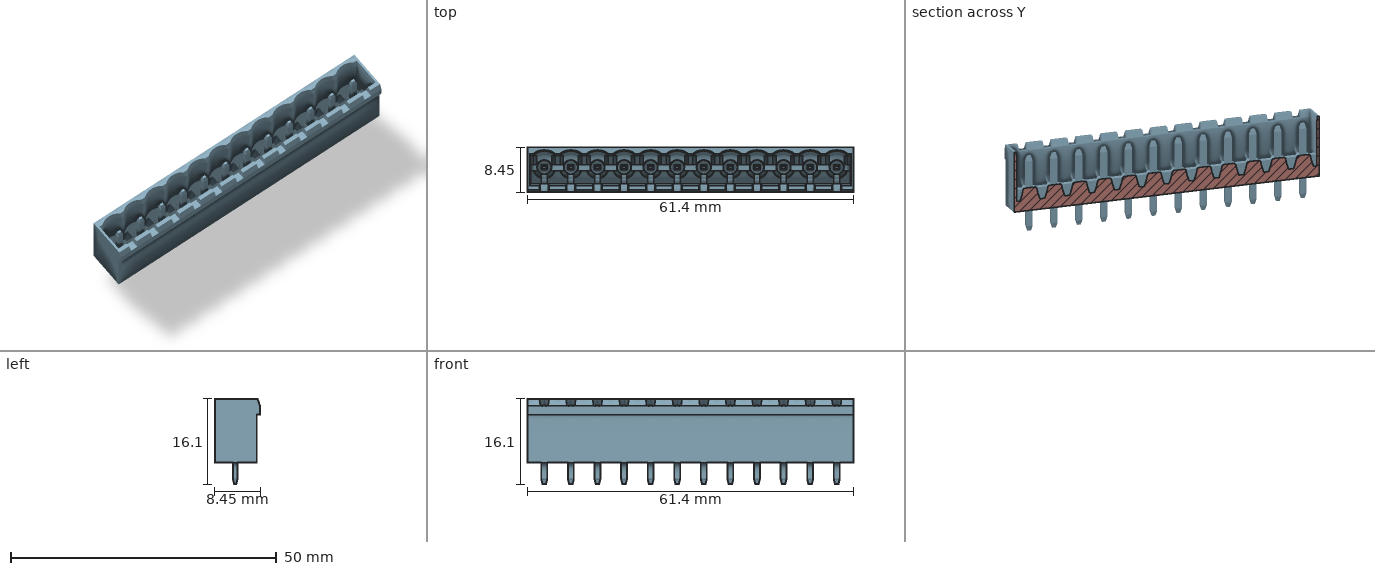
import cadquery as cq
import math


length = 61.4
height = 12.0
back_y = 3.8
front_y = -4.05
lip_front_y = -4.65
lip_bottom_z = height - 2.95
lip_chamfer_depth = 0.4
lip_chamfer_height = 1.3

pin_count = 12
end_margin = 3.2
pitch = (length - 2 * end_margin) / (pin_count - 1)
pin_places = [-length / 2 + end_margin + i * pitch for i in range(pin_count)]
gap_places = [pin_places[0] - pitch / 2 + i * pitch for i in range(pin_count + 1)]

floor_z = 2.9
end_wall = 0.6
cavity_length = length - 2 * end_wall
cavity_back_y = 2.15
cavity_front_y = -3.1
scallop_radius = 3.1

lead_in_height = 1.2
lead_in_z = height - lead_in_height
lead_in_wall_inset = 0.35
lead_in_end_inset = 0.2
mouth_length = cavity_length + 2 * lead_in_end_inset
mouth_back_y = cavity_back_y + lead_in_wall_inset
mouth_front_y = cavity_front_y - lead_in_wall_inset
mouth_scallop_radius = scallop_radius + 0.2

shelf_z = 4.4
shelf_front_y = -0.6

boss_top_radius = 1.3
boss_base_radius = 2.1
boss_top_z = 4.6

web_width = 1.1
web_z = 4.5
web_curve_radius = 1.1

trough_bottom_z = 2.15
trough_front_y = 0.5
trough_bend_z = 3.3
trough_half_bottom = 0.46
trough_half_bend = 0.85
trough_half_top = 1.1

notch_depth = 1.3
notch_top_width = 1.85
notch_bottom_width = 1.5

pin_width = 1.15
pin_depth = 0.9
pin_top_z = height - 1.2
pin_bottom_z = -4.05
pin_tip_height = 1.0
pin_tip_inset = 0.25


def box(x_size, y_low, y_high, z_low, z_high):
    """Block centred on X = 0 between the given Y and Z limits."""
    block = cq.Workplane("XY").box(x_size, y_high - y_low, z_high - z_low, centered=(True, False, False))
    return block.translate((0, y_low, z_low))


def at_each(places, shape):
    """Copies of a shape along X, held as one compound."""
    copies = [shape.val().translate(cq.Vector(x, 0, 0)) for x in places]
    return cq.Workplane(cq.Compound.makeCompound(copies))


def housing_block():
    outline = [
        (back_y, 0),
        (front_y, 0),
        (front_y, lip_bottom_z),
        (lip_front_y, lip_bottom_z),
        (lip_front_y, height - lip_chamfer_height),
        (lip_front_y + lip_chamfer_depth, height),
        (back_y, height),
    ]
    return cq.Workplane("YZ").polyline(outline).close().extrude(length / 2, both=True)


def scallop_wire(z, radius, chord_y):
    """Closed outline from the pin row to an arc about the pin, the arc split at its middle."""
    half_chord = math.sqrt(radius**2 - chord_y**2)
    chord_angle = math.asin(chord_y / radius)
    mid_angle = (chord_angle + math.pi / 2) / 2
    mid_x = radius * math.cos(mid_angle)
    mid_y = radius * math.sin(mid_angle)
    outline = (
        cq.Workplane("XY", (0, 0, z))
        .moveTo(-half_chord, 0)
        .lineTo(-half_chord, chord_y)
        .threePointArc((-mid_x, mid_y), (0, radius))
        .threePointArc((mid_x, mid_y), (half_chord, chord_y))
        .lineTo(half_chord, 0)
        .close()
    )
    return outline.val()


def ruled_loft(low_wire, high_wire):
    return cq.Workplane(cq.Solid.makeLoft([low_wire, high_wire], True))


def scallop_cutter():
    base = scallop_wire(floor_z, scallop_radius, cavity_back_y)
    bend = scallop_wire(lead_in_z, scallop_radius, cavity_back_y)
    mouth = scallop_wire(height, mouth_scallop_radius, mouth_back_y)
    return ruled_loft(base, bend).union(ruled_loft(bend, mouth))


def cavity_rectangle(z, x_size, y_low, y_high):
    return cq.Workplane("XY", (0, (y_low + y_high) / 2, z)).rect(x_size, y_high - y_low).val()


def cavity_cutter():
    bend = cavity_rectangle(lead_in_z, cavity_length, cavity_front_y, cavity_back_y)
    mouth = cavity_rectangle(height, mouth_length, mouth_front_y, mouth_back_y)
    cutter = box(cavity_length, cavity_front_y, cavity_back_y, floor_z, lead_in_z)
    cutter = cutter.union(ruled_loft(bend, mouth))
    scallop = scallop_cutter()
    for x in pin_places:
        cutter = cutter.union(scallop.translate((x, 0, 0)))
    return cutter


def shelf():
    return box(cavity_length, shelf_front_y, back_y, floor_z, shelf_z)


def boss():
    base = cq.Workplane("XY", (0, 0, floor_z)).circle(boss_base_radius)
    return base.workplane(offset=boss_top_z - floor_z).circle(boss_top_radius).loft()


def web():
    curve_start_y = cavity_front_y + web_curve_radius
    curve_middle_offset = web_curve_radius * math.sqrt(0.5)
    curve_top_z = web_z + web_curve_radius
    return (
        cq.Workplane("YZ")
        .moveTo(0, floor_z)
        .lineTo(0, web_z)
        .lineTo(curve_start_y, web_z)
        .threePointArc(
            (curve_start_y - curve_middle_offset, curve_top_z - curve_middle_offset),
            (cavity_front_y, curve_top_z),
        )
        .lineTo(cavity_front_y, floor_z)
        .close()
        .extrude(web_width / 2, both=True)
    )


def trough_cutter():
    outline = [
        (-trough_half_bottom, trough_bottom_z),
        (-trough_half_bend, trough_bend_z),
        (-trough_half_top, shelf_z),
        (trough_half_top, shelf_z),
        (trough_half_bend, trough_bend_z),
        (trough_half_bottom, trough_bottom_z),
    ]
    profile = cq.Workplane("XZ", (0, cavity_back_y, 0)).polyline(outline).close()
    trough = profile.extrude(cavity_back_y - trough_front_y)
    inside = box(cavity_length, trough_front_y, cavity_back_y, trough_bottom_z, shelf_z)
    return at_each(gap_places, trough).intersect(inside)


def notch_cutter():
    notch_floor_z = height - notch_depth
    outline = [
        (-notch_bottom_width / 2, notch_floor_z),
        (-notch_top_width / 2, height),
        (notch_top_width / 2, height),
        (notch_bottom_width / 2, notch_floor_z),
    ]
    return cq.Workplane("XZ").polyline(outline).close().extrude(-lip_front_y)


def pin_tip(base_z, rise):
    base = cq.Workplane("XY", (0, 0, base_z)).rect(pin_width, pin_depth)
    end = base.workplane(offset=rise).rect(pin_width - 2 * pin_tip_inset, pin_depth - 2 * pin_tip_inset)
    return end.loft(ruled=True)


def pin():
    low_z = pin_bottom_z + pin_tip_height
    high_z = pin_top_z - pin_tip_height
    shank = box(pin_width, -pin_depth / 2, pin_depth / 2, low_z, high_z)
    return shank.union(pin_tip(high_z, pin_tip_height)).union(pin_tip(low_z, -pin_tip_height))


result = housing_block().cut(cavity_cutter())
result = result.union(shelf())
pin_seat = boss().union(web())
for pin_x in pin_places:
    result = result.union(pin_seat.translate((pin_x, 0, 0)))
result = result.cut(trough_cutter())
result = result.cut(at_each(pin_places, notch_cutter()))
result = result.union(at_each(pin_places, pin()))